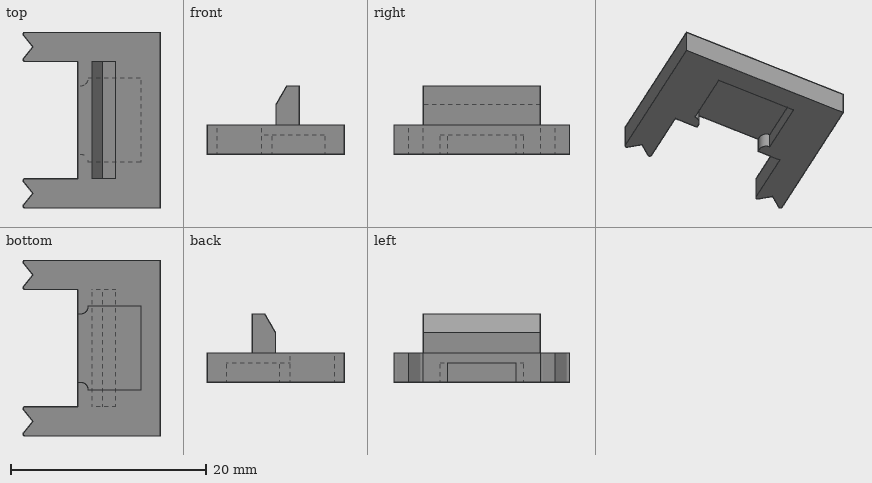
import cadquery as cq
import math

length = 14.08
width = 18.0
height = 7.0

base_height = 3.0
arm_width = width / 6
arm_length = 5.6

tip_radius = 0.2
tip_angle = math.radians(51)

ridge_front = 7.05
ridge_thickness = 2.4
ridge_top_thickness = 1.3
ridge_shoulder_height = 5.1
ridge_width = width - 2 * arm_width

mouth_width = 7.0
pocket_height = 2.0
mouth_straight = 0.29
mouth_radius = 0.8
rear_wall = 2.0


def make_arm(center_y):
    """Arm whose sharp tips, once rounded, end at X = 0."""
    half_width = arm_width / 2
    sharp_tip_x = tip_radius - tip_radius / math.tan(tip_angle / 2)
    notch_x = sharp_tip_x + half_width / math.tan(tip_angle)
    arm = (
        cq.Workplane("XY")
        .moveTo(sharp_tip_x, -half_width)
        .lineTo(arm_length, -half_width)
        .lineTo(arm_length, half_width)
        .lineTo(sharp_tip_x, half_width)
        .lineTo(notch_x, 0)
        .close()
        .extrude(base_height)
    )
    tip_edges = arm.edges(cq.selectors.BoxSelector(
        (sharp_tip_x - tip_radius, -width, -height),
        (0, width, height),
    )).edges("|Z")
    return tip_edges.fillet(tip_radius).translate((0, center_y, 0))


def make_ridge():
    """Upright ridge with a sloped upper front face."""
    ridge_back = ridge_front + ridge_thickness
    return (
        cq.Workplane("XZ")
        .moveTo(ridge_front, base_height)
        .lineTo(ridge_back, base_height)
        .lineTo(ridge_back, height)
        .lineTo(ridge_back - ridge_top_thickness, height)
        .lineTo(ridge_front, ridge_shoulder_height)
        .close()
        .extrude(ridge_width / 2, both=True)
    )


def make_pocket():
    """Pocket void: straight mouth flaring through quarter rounds to a wider cavity."""
    half_mouth = mouth_width / 2
    half_cavity = half_mouth + mouth_radius
    round_start = arm_length + mouth_straight
    round_end = round_start + mouth_radius
    cavity_end = length - rear_wall
    arc_reach = mouth_radius * math.sin(math.pi / 4)
    arc_mid = (round_start + arc_reach, half_cavity - arc_reach)
    return (
        cq.Workplane("XY")
        .moveTo(arm_length, -half_mouth)
        .lineTo(round_start, -half_mouth)
        .threePointArc((arc_mid[0], -arc_mid[1]), (round_end, -half_cavity))
        .lineTo(cavity_end, -half_cavity)
        .lineTo(cavity_end, half_cavity)
        .lineTo(round_end, half_cavity)
        .threePointArc(arc_mid, (round_start, half_mouth))
        .lineTo(arm_length, half_mouth)
        .close()
        .extrude(pocket_height)
    )


crossbar_length = length - arm_length
result = (
    cq.Workplane("XY")
    .box(crossbar_length, width, base_height, centered=(False, True, False))
    .translate((arm_length, 0, 0))
)
for side in (-1, 1):
    result = result.union(make_arm(side * (width - arm_width) / 2))
result = result.union(make_ridge()).cut(make_pocket()).clean()